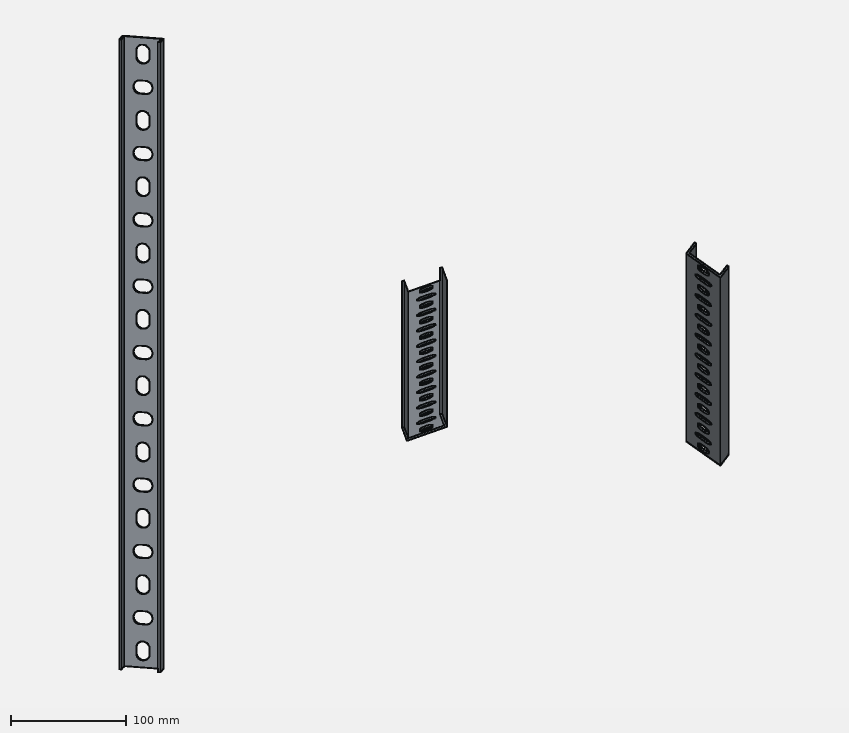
import cadquery as cq

length = 570.0
width = 37.0
depth = 12.5
thickness = 2.0

slot_count = 19
slot_pitch = length / slot_count
slot_width = 12.0
slot_length = 17.0
upright_angle = 90
crosswise_angle = 0


def channel():
    """U-shaped rail with its web on the +Y side."""
    body = cq.Workplane("XY").box(width, depth, length)
    hollow = (
        cq.Workplane("XY")
        .box(width - 2 * thickness, depth, length)
        .translate((0, -thickness, 0))
    )
    return body.cut(hollow)


def slots(centers, angle):
    """Round-ended cutters passing through the web at the given (x, z) centers."""
    return (
        cq.Workplane("XZ")
        .pushPoints(centers)
        .slot2D(slot_length, slot_width, angle)
        .extrude(depth, both=True)
    )


slot_centers = [
    (0, (index + 0.5) * slot_pitch - length / 2) for index in range(slot_count)
]
upright_centers = slot_centers[0::2]
crosswise_centers = slot_centers[1::2]

result = (
    channel()
    .cut(slots(upright_centers, upright_angle))
    .cut(slots(crosswise_centers, crosswise_angle))
)